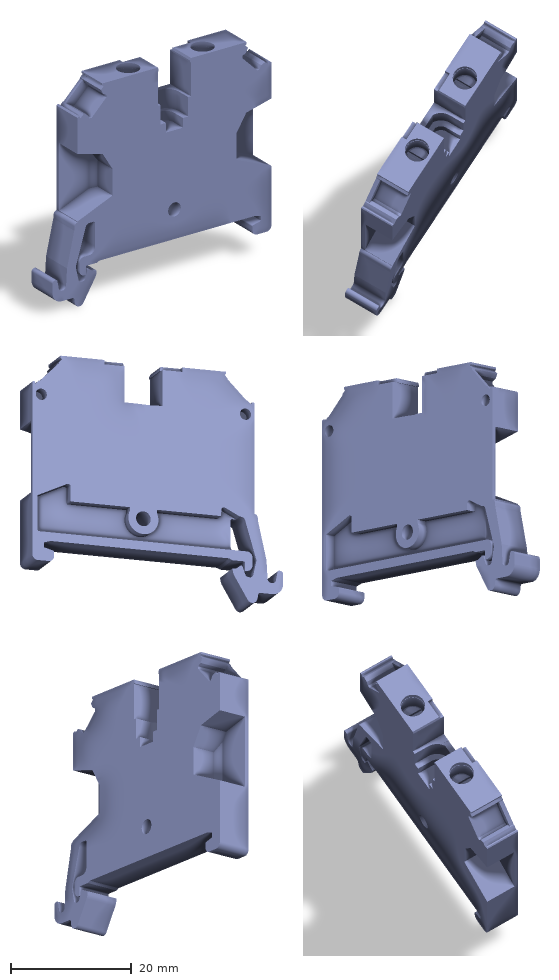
import cadquery as cq
import math


thickness = 6.1
half_length = 19.55
latch_reach = 24.55
top_z = 32.05
bottom_z = -7.28
plate_thickness = 0.75

top_half_length = 14.55
lip_height = 0.35
slope_top_y = 14.3
slope_top_z = top_z - 0.57
slope_bottom_y = 18.9
slope_bottom_z = slope_top_z - (slope_bottom_y - slope_top_y)
ridge_y = 19.15
ridge_z = top_z - 4.8
ridge_chamfer = 0.18
slope_step = 0.18
groove_mouth_y = 18.3
groove_mouth_z = slope_top_z - (groove_mouth_y - slope_top_y)
groove_upper_y = 14.8
groove_upper_z = slope_top_z - (groove_upper_y - slope_top_y)
groove_floor_y = 16.65
groove_ledge_y = 17.1
groove_ledge_z = top_z - 5.7
groove_knee_y = 17.5
groove_knee_z = top_z - 5.0

slot_half_width = 3.35
slot_floor_z = top_z - 6.95
slot_lip = 0.18
slot_lip_height = 0.75
lip_chamfer_height = 0.45
label_seat_end_y = 6.85
label_seat_depth = 0.93
label_seat_chamfer = 0.18
floor_strip_width = 0.93
floor_strip_depth = 0.1
floor_strip_start_y = 1.4
floor_strip_end_y = -1.9

well_centre_x = 3.45
well_radius = 2.8
well_start_x = 1.0
well_depth = 3.55
inner_well_radius = 1.7
inner_well_start_x = 1.85
inner_well_depth = 5.3

entry_roof_z = top_z - 11.55
entry_roof_knee_z = top_z - 12.85
entry_back_top_z = top_z - 16.1
entry_back_bottom_z = top_z - 20.9
entry_floor_z = top_z - 23.8
entry_depth = 7.05
entry_knee_depth = 5.05
entry_taper_depth = 6.0
entry_back_x = 1.75

side_recess_depth = 1.9
bar_top_z = 1.5
recess_ceiling_z = 7.15
boss_z = 5.4
boss_radius = 2.65
boss_neck_half_width = 2.4
boss_hole_radius = 1.3
pin_hole_y = 17.95
pin_hole_z = 25.1
pin_hole_radius = 0.95
pin_hole_depth = 2.2

shoulder_z = 8.1
foot_bottom_z = -3.5
window_y = -16.0
window_top_z = 7.35

screw_x = well_centre_x
screw_y = 7.5
screw_radius = 2.0
screw_top_z = top_z - 3.55
screw_length = 6.6
screw_chamfer = 0.35
screw_slot_width = 0.6
screw_slot_depth = 0.65
bore_mouth_radius = 2.05
bore_mouth_depth = 0.9


def rounded_outline(corners, start_x):
    """Closed wire in the YZ plane at start_x; each corner is (y, z) or (y, z, fillet radius)."""
    stretches = []
    for i, corner in enumerate(corners):
        y, z = corner[:2]
        if len(corner) == 2:
            stretches.append([(y, z)])
            continue
        radius = corner[2]
        before, after = corners[i - 1], corners[(i + 1) % len(corners)]
        angle_in = math.atan2(before[1] - z, before[0] - y)
        angle_out = math.atan2(after[1] - z, after[0] - y)
        half_angle = abs(math.remainder(angle_out - angle_in, 2 * math.pi)) / 2
        middle_angle = angle_in + math.remainder(angle_out - angle_in, 2 * math.pi) / 2
        tangent = radius / math.tan(half_angle)
        to_arc = radius / math.sin(half_angle) - radius
        stretches.append([
            (y + reach * math.cos(angle), z + reach * math.sin(angle))
            for reach, angle in ((tangent, angle_in), (to_arc, middle_angle), (tangent, angle_out))
        ])
    outline = cq.Workplane("YZ", origin=(start_x, 0, 0)).moveTo(*stretches[0][-1])
    for points in stretches[1:] + stretches[:1]:
        outline = outline.lineTo(*points[0])
        if len(points) == 3:
            outline = outline.threePointArc(points[1], points[2])
    return outline.close()


def profile_solid(corners, start_x, end_x):
    return rounded_outline(corners, start_x).extrude(end_x - start_x)


def box_between(x_range, y_range, z_range):
    sizes = [high - low for low, high in (x_range, y_range, z_range)]
    return cq.Workplane("XY").box(*sizes, centered=False).translate(
        (x_range[0], y_range[0], z_range[0])
    )


def end_corners(side):
    """Upper end of the housing, from the outer wall up to the top lip; side is +1 or -1 in Y."""
    corners = [
        (half_length, ridge_z - ridge_chamfer),
        (half_length - ridge_chamfer, ridge_z),
        (ridge_y, ridge_z),
        (slope_bottom_y, slope_bottom_z),
        (groove_mouth_y, groove_mouth_z),
        (groove_mouth_y - slope_step, groove_mouth_z),
        (groove_upper_y, groove_upper_z - slope_step),
        (groove_upper_y, groove_upper_z),
        (slope_top_y, slope_top_z),
        (top_half_length, top_z - lip_height),
        (top_half_length, top_z),
    ]
    return [(side * y, z) for y, z in corners]


def housing_blank():
    top_and_slot = [
        (-slot_half_width, top_z),
        (-slot_half_width, slot_floor_z),
        (slot_half_width, slot_floor_z),
        (slot_half_width, top_z),
    ]
    foot = [
        (half_length, foot_bottom_z, 0.95),
        (15.7, foot_bottom_z, 0.95),
        (15.7, -1.65, 0.2),
        (17.45, -1.2),
        (17.45, -0.35),
        (16.3, 0),
    ]
    rail_hook = [
        (-15.1, 0),
        (-15.65, -0.25),
        (-17.85, -0.25, 0.18),
        (-17.85, -1.9),
        (-19.2, -1.9, 1.1),
        (-19.2, bar_top_z, 0.95),
        (window_y, bar_top_z, 1.25),
        (window_y, window_top_z, 0.3),
    ]
    latch = [
        (-17.75, window_top_z, 0.8),
        (-19.9, 0.1, 0.2),
        (-19.23, -2.9, 0.6),
        (-18.1, -2.9, 0.6),
        (-17.35, -0.9, 0.2),
        (-16.3, -1.65, 0.65),
        (-15.65, -1.68),
        (-15.8, -2.55, 1.75),
        (-18.6, bottom_z, 0.9),
        (-19.95, bottom_z, 0.95),
        (-20.25, -5.42, 0.35),
        (-latch_reach, -5.42, 1.85),
        (-latch_reach, -1.3, 0.55),
        (-23.65, -1.3, 0.3),
        (-23.2, -3.55, 0.65),
        (-21.87, -3.55, 0.65),
        (-21.65, 0.25),
        (-20.2, 6.75),
        (-20.05, 7.9, 0.65),
        (-half_length, shoulder_z),
    ]
    outline = end_corners(-1) + top_and_slot + end_corners(1)[::-1] + foot + rail_hook + latch
    return profile_solid(outline, 0, thickness)


def slot_lip_strip(side):
    """Chamfered lip along one upper edge of the slot."""
    edge_y = side * slot_half_width
    lip_y = side * (slot_half_width - slot_lip)
    corners = [
        (edge_y, top_z),
        (lip_y, top_z - lip_chamfer_height),
        (lip_y, top_z - slot_lip_height),
        (edge_y, top_z - slot_lip_height),
    ]
    return profile_solid(corners, label_seat_depth - label_seat_chamfer, thickness)


def label_seat(side):
    """Corner seat beside the slot; its back wall leans in towards the top."""
    wall_x = label_seat_depth - label_seat_chamfer
    seat = (
        cq.Workplane("XZ")
        .moveTo(0, top_z)
        .lineTo(label_seat_depth, top_z)
        .lineTo(wall_x, top_z - lip_chamfer_height)
        .lineTo(wall_x, top_z - slot_lip_height)
        .lineTo(0, top_z - slot_lip_height)
        .close()
        .extrude(-label_seat_end_y)
    )
    if side < 0:
        seat = seat.mirror("XZ")
    return seat


def slope_groove():
    """Undercut groove behind the plate in the slope of the -Y end, for a marker strip."""
    lower_end = [
        (-groove_mouth_y, groove_mouth_z),
        (-groove_knee_y, groove_knee_z),
        (-groove_ledge_y, groove_ledge_z),
        (-groove_floor_y, groove_ledge_z),
    ]
    upper_end = [
        (-groove_upper_y - (z - groove_mouth_z), groove_upper_z - (y + groove_mouth_y))
        for y, z in reversed(lower_end)
    ]
    clearance = 0.45
    outside = [
        (-groove_upper_y - clearance, groove_upper_z + clearance),
        (-groove_mouth_y - clearance, groove_mouth_z + clearance),
    ]
    return profile_solid(lower_end + upper_end + outside, plate_thickness, thickness)


def wire_entry():
    """Funnel in the -Y end, open to the +X face, its side wall tapering near the back."""
    corners = [
        (-half_length, entry_floor_z),
        (-half_length, entry_roof_z),
        (-half_length + entry_knee_depth, entry_roof_knee_z),
        (-half_length + entry_depth, entry_back_top_z),
        (-half_length + entry_depth, entry_back_bottom_z),
    ]
    funnel = profile_solid(corners, plate_thickness, thickness)
    side_taper = (
        cq.Workplane("XY", origin=(0, 0, entry_floor_z))
        .moveTo(plate_thickness, -half_length + entry_taper_depth)
        .lineTo(entry_back_x, -half_length + entry_depth)
        .lineTo(plate_thickness, -half_length + entry_depth)
        .close()
        .extrude(entry_roof_z - entry_floor_z)
    )
    return funnel.cut(side_taper)


def well(radius, start_x, depth):
    """U-shaped step of the well: a round end cut off flat at start_x, open to the +X face."""
    floor_z = slot_floor_z - depth
    round_end = (
        cq.Workplane("XY", origin=(well_centre_x, 0, floor_z)).circle(radius).extrude(depth)
    )
    heights = (floor_z, slot_floor_z)
    open_part = box_between((well_centre_x, thickness), (-radius, radius), heights)
    kept_part = box_between((start_x, thickness), (-radius, radius), heights)
    return round_end.union(open_part).intersect(kept_part)


def side_recess():
    """Recess in the -X face that leaves the boss and its neck standing."""
    corners = [
        (18.6, bar_top_z, 0.25),
        (18.6, 7.67, 0.18),
        (13.3, 10.15, 0.35),
        (12.85, 9.95, 0.18),
        (12.85, recess_ceiling_z, 0.2),
        (-13.65, recess_ceiling_z),
        (-13.7, 8.7, 0.45),
        (-14.3, 8.7, 0.35),
        (-17.0, window_top_z),
        (-17.0, bar_top_z),
    ]
    recess = profile_solid(corners, 0, side_recess_depth)
    boss = cq.Workplane("YZ").center(0, boss_z).circle(boss_radius).extrude(side_recess_depth)
    neck = box_between(
        (0, side_recess_depth),
        (-boss_neck_half_width, boss_neck_half_width),
        (boss_z, recess_ceiling_z),
    )
    return recess.cut(boss).cut(neck)


def upright_cylinder(y, radius, z_top, height):
    return (
        cq.Workplane("XY", origin=(screw_x, y, z_top - height)).circle(radius).extrude(height)
    )


def screw_bore(y):
    """Blind bore with a slightly wider mouth; the screw rests on its end."""
    depth = top_z - screw_top_z + screw_length
    bore = upright_cylinder(y, screw_radius, top_z, depth)
    mouth = upright_cylinder(y, bore_mouth_radius, top_z, bore_mouth_depth)
    return bore.union(mouth)


def build_housing():
    body = housing_blank()
    for side in (-1, 1):
        body = body.cut(label_seat(side))
        body = body.union(slot_lip_strip(side))
        body = body.cut(screw_bore(side * screw_y))
    floor_strip = profile_solid(
        [
            (floor_strip_start_y, slot_floor_z),
            (floor_strip_end_y, slot_floor_z),
            (floor_strip_end_y, slot_floor_z - floor_strip_depth),
        ],
        0,
        floor_strip_width,
    )
    body = body.cut(floor_strip)
    for cutter in (slope_groove(), wire_entry()):
        body = body.cut(cutter).cut(cutter.mirror("XZ"))
    body = body.cut(well(well_radius, well_start_x, well_depth))
    body = body.cut(well(inner_well_radius, inner_well_start_x, inner_well_depth))
    body = body.cut(side_recess())
    boss_hole = cq.Workplane("YZ").center(0, boss_z).circle(boss_hole_radius).extrude(thickness)
    pin_holes = (
        cq.Workplane("YZ")
        .pushPoints([(-pin_hole_y, pin_hole_z), (pin_hole_y, pin_hole_z)])
        .circle(pin_hole_radius)
        .extrude(pin_hole_depth)
    )
    return body.cut(boss_hole).cut(pin_holes)


def build_screw(y):
    screw = upright_cylinder(y, screw_radius, screw_top_z, screw_length)
    screw = screw.faces(">Z").chamfer(screw_chamfer)
    slot = box_between(
        (screw_x - screw_radius, screw_x + screw_radius),
        (y - screw_slot_width / 2, y + screw_slot_width / 2),
        (screw_top_z - screw_slot_depth, screw_top_z),
    )
    return screw.cut(slot)


housing = build_housing()
screws = [build_screw(side * screw_y) for side in (-1, 1)]

result = cq.Compound.makeCompound([housing.val(), *[screw.val() for screw in screws]])